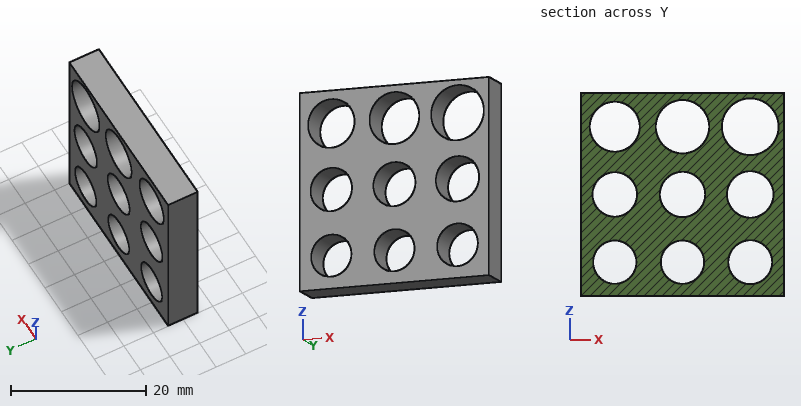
import cadquery as cq

side = 30.0
thickness = 5.0

holes_per_side = 3
pitch = side / holes_per_side

hole_diameters = [
    [6.35, 6.35, 6.45],
    [6.55, 6.65, 6.85],
    [7.35, 7.85, 8.35],
]


def through_hole(x, z, diameter):
    """Cylinder along Y that passes through the full plate thickness."""
    return (
        cq.Workplane("XZ", origin=(0, thickness / 2, 0))
        .center(x, z)
        .circle(diameter / 2)
        .extrude(thickness)
    )


def grid_position(index):
    """Coordinate of a grid row or column, with the middle one at zero."""
    return (index - (holes_per_side - 1) / 2) * pitch


result = cq.Workplane("XY").box(side, thickness, side)
for row, diameters in enumerate(hole_diameters):
    for column, diameter in enumerate(diameters):
        hole = through_hole(grid_position(column), grid_position(row), diameter)
        result = result.cut(hole)